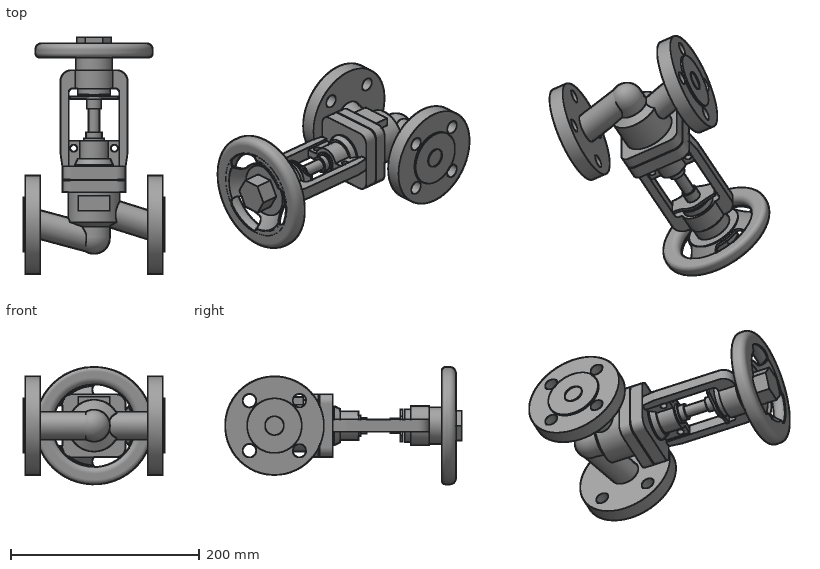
import cadquery as cq
import math


FACE_TO_FACE = 150.0
FLANGE_DIA = 105.0
FLANGE_THICKNESS = 16.0
RAISED_FACE_DIA = 58.0
RAISED_FACE_HEIGHT = 2.0
BOLT_CIRCLE_DIA = 75.0
BOLT_HOLE_DIA = 14.0
BOLT_COUNT = 4
BORE_DIA = 20.0
BORE_DEPTH = 1.0

PIPE_DIA = 30.0
ELBOW_RADIUS = 17.0
ELBOW_Y = -14.0
INLET_ANGLE = 15.0
OUTLET_ANGLE = 17.5
BODY_RADIUS = 27.5
BODY_CONE_BOTTOM_Y = -2.0
BODY_CONE_TOP_Y = 2.8
BODY_TOP_Y = 34.7

PAD_WIDTH = 33.0
PAD_BOTTOM_Y = 14.7
PAD_TOP_Y = 30.8
PAD_TOP_Z = 30.7

SQUARE_SIDE = 67.0
SQUARE_CORNER_RADIUS = 10.0
BODY_FLANGE_THICKNESS = 12.3
GASKET_RADIUS = 25.7
GASKET_THICKNESS = 1.0
BONNET_TOP_Y = 62.0

NECK_RADIUS = 15.4
NECK_TOP_Y = 89.3
NECK_FOOT_RADIUS = 20.8
NECK_FOOT_HEIGHT = 1.5
NECK_CONE_RADIUS = 17.8
NECK_CONE_TOP_Y = 69.8
GLAND_RIM_RADIUS = 11.0
GLAND_RIM_TOP_Y = 91.8
GLAND_RADIUS = 8.6
GLAND_TOP_Y = 98.2

YOKE_THICKNESS = 13.4
YOKE_HALF_WIDTH = 35.8
YOKE_FOOT_HALF_WIDTH = 33.7
YOKE_TAPER_TOP_Y = 76.5
YOKE_TOP_Y = 164.2
YOKE_CORNER_RADIUS = 12.0
WINDOW_HALF_WIDTH = 26.7
WINDOW_TOP_Y = 144.5
WINDOW_CORNER_RADIUS = 4.0
WEB_THICKNESS = 8.0
WEB_HOLE_DIA = 7.2
WEB_HOLE_X = 21.6
WEB_HOLE_Y = 81.2
BOSS_RADIUS = 21.0
COLLAR_RADIUS = 17.5
COLLAR_BOTTOM_Y = 138.1

STEM_RADIUS = 6.0
SLEEVE_RADIUS = 7.9
SLEEVE_BOTTOM_Y = 123.0
GUIDE_BOTTOM_Y = 133.4
GUIDE_THICKNESS = 2.8
GUIDE_DISC_RADIUS = 17.3
GUIDE_HALF_LENGTH = 25.4
GUIDE_TAB_HALF_HEIGHT = 10.0
GUIDE_FILLET_RADIUS = 24.0

WHEEL_RADIUS = 62.5
RIM_BOTTOM_Y = 177.4
RIM_TOP_Y = 192.8
RIM_INNER_RADIUS = 43.8
RIM_ROUND_RADIUS = 7.0
RIM_LOWER_OUTER_ROUND = 4.7
HUB_RADIUS = 19.6
HUB_FLANGE_RADIUS = 29.5
HUB_FLANGE_Y = RIM_BOTTOM_Y
DISH_STEP = 1.0
DISH_RIM_RADIUS = 42.0
DISH_RIM_Y = 191.5
DISH_THICKNESS = 1.5
SPOKE_COUNT = 3
WINDOW_INNER_RADIUS = 31.0
WINDOW_OUTER_RADIUS = 46.0
WINDOW_HALF_ANGLE = 32.5

NUT_ACROSS_FLATS = 32.0
NUT_TOP_Y = 199.0


def cylinder_y(radius, y_start, y_end):
    """Cylinder on the stem axis between two Y levels."""
    return cq.Workplane("XZ", origin=(0, y_start, 0)).circle(radius).extrude(y_start - y_end)


def cone_y(radius_start, y_start, radius_end, y_end):
    """Cone frustum on the stem axis between two Y levels."""
    profile = [(0, y_start), (radius_start, y_start), (radius_end, y_end), (0, y_end)]
    return cq.Workplane("XY").polyline(profile).close().revolve(360, (0, 0, 0), (0, 1, 0))


def make_pipe_flange(side):
    """Flange at the -X end (side = -1) or the +X end (side = 1)."""
    face_x = FACE_TO_FACE / 2
    flange = (
        cq.Workplane("YZ", origin=(face_x, 0, 0))
        .circle(RAISED_FACE_DIA / 2)
        .extrude(-RAISED_FACE_HEIGHT)
    )
    disc = (
        cq.Workplane("YZ", origin=(face_x - RAISED_FACE_HEIGHT, 0, 0))
        .circle(FLANGE_DIA / 2)
        .extrude(-FLANGE_THICKNESS)
    )
    bolt_holes = (
        cq.Workplane("YZ", origin=(face_x, 0, 0))
        .polarArray(BOLT_CIRCLE_DIA / 2, 180 / BOLT_COUNT, 360, BOLT_COUNT)
        .circle(BOLT_HOLE_DIA / 2)
        .extrude(-RAISED_FACE_HEIGHT - FLANGE_THICKNESS)
    )
    bore = cq.Workplane("YZ", origin=(face_x, 0, 0)).circle(BORE_DIA / 2).extrude(-BORE_DEPTH)
    flange = flange.union(disc).cut(bolt_holes).cut(bore)
    return flange if side > 0 else flange.mirror("YZ")


def make_pipe(start_x, end_x, slope_angle):
    """Round pipe crossing Y = 0 at start_x and rising by slope_angle on its way to end_x."""
    run = end_x - start_x
    rise = abs(run) * math.tan(math.radians(slope_angle))
    overlap = FLANGE_THICKNESS / 2
    direction = cq.Vector(run, rise, 0).normalized()
    start = cq.Vector(start_x, 0, 0) - direction * overlap
    plane = cq.Plane(origin=start.toTuple(), xDir=(0, 0, 1), normal=direction.toTuple())
    return cq.Workplane(plane).circle(PIPE_DIA / 2).extrude(math.hypot(run, rise) + overlap)


def make_body():
    """Conical-bottomed body with a round-ended elbow below it, both pipes and the name plate pad."""
    inner_x = FACE_TO_FACE / 2 - RAISED_FACE_HEIGHT - FLANGE_THICKNESS
    diagonal = ELBOW_RADIUS * math.sqrt(0.5)
    core = (
        cq.Workplane("XY")
        .moveTo(0, ELBOW_Y - ELBOW_RADIUS)
        .threePointArc((diagonal, ELBOW_Y - diagonal), (ELBOW_RADIUS, ELBOW_Y))
        .lineTo(ELBOW_RADIUS, BODY_CONE_BOTTOM_Y)
        .lineTo(BODY_RADIUS, BODY_CONE_TOP_Y)
        .lineTo(BODY_RADIUS, BODY_TOP_Y)
        .lineTo(0, BODY_TOP_Y)
        .close()
        .revolve(360, (0, 0, 0), (0, 1, 0))
    )
    pad = cq.Workplane("XY").box(
        PAD_WIDTH, PAD_TOP_Y - PAD_BOTTOM_Y, PAD_TOP_Z, centered=(True, False, False)
    )
    pad = pad.translate((0, PAD_BOTTOM_Y, 0))
    inlet = make_pipe(-inner_x, 0, -INLET_ANGLE)
    outlet = make_pipe(inner_x, 0, OUTLET_ANGLE)
    return core.union(inlet).union(outlet).union(pad)


def square_flange(y_start, y_end):
    """Square plate with rounded corners between two Y levels."""
    return (
        cq.Workplane("XZ", origin=(0, y_start, 0))
        .rect(SQUARE_SIDE, SQUARE_SIDE)
        .extrude(y_start - y_end)
        .edges("|Y")
        .fillet(SQUARE_CORNER_RADIUS)
    )


def make_bonnet():
    """Both square flanges with the gasket between them, the bonnet neck and the gland."""
    gasket_y = BODY_TOP_Y + BODY_FLANGE_THICKNESS
    bonnet_y = gasket_y + GASKET_THICKNESS
    foot_top_y = BONNET_TOP_Y + NECK_FOOT_HEIGHT
    bonnet = square_flange(BODY_TOP_Y, gasket_y)
    bonnet = bonnet.union(cylinder_y(GASKET_RADIUS, gasket_y, bonnet_y))
    bonnet = bonnet.union(square_flange(bonnet_y, BONNET_TOP_Y))
    bonnet = bonnet.union(cylinder_y(NECK_FOOT_RADIUS, BONNET_TOP_Y, foot_top_y))
    bonnet = bonnet.union(cone_y(NECK_FOOT_RADIUS, foot_top_y, NECK_CONE_RADIUS, NECK_CONE_TOP_Y))
    bonnet = bonnet.union(cylinder_y(NECK_RADIUS, BONNET_TOP_Y, NECK_TOP_Y))
    bonnet = bonnet.union(cylinder_y(GLAND_RIM_RADIUS, NECK_TOP_Y, GLAND_RIM_TOP_Y))
    return bonnet.union(cylinder_y(GLAND_RADIUS, GLAND_RIM_TOP_Y, GLAND_TOP_Y))


def make_yoke():
    """Arched frame with a drilled web at its foot and a round boss and collar at its head."""
    outline = [
        (-YOKE_FOOT_HALF_WIDTH, BONNET_TOP_Y),
        (YOKE_FOOT_HALF_WIDTH, BONNET_TOP_Y),
        (YOKE_HALF_WIDTH, YOKE_TAPER_TOP_Y),
        (YOKE_HALF_WIDTH, YOKE_TOP_Y),
        (-YOKE_HALF_WIDTH, YOKE_TOP_Y),
        (-YOKE_HALF_WIDTH, YOKE_TAPER_TOP_Y),
    ]
    yoke = cq.Workplane("XY").polyline(outline).close().extrude(YOKE_THICKNESS / 2, both=True)
    yoke = yoke.edges("|Z and >Y").fillet(YOKE_CORNER_RADIUS)
    window = (
        cq.Workplane("XY", origin=(0, (BONNET_TOP_Y + WINDOW_TOP_Y) / 2, 0))
        .rect(2 * WINDOW_HALF_WIDTH, WINDOW_TOP_Y - BONNET_TOP_Y)
        .extrude(YOKE_THICKNESS, both=True)
        .edges("|Z and >Y")
        .fillet(WINDOW_CORNER_RADIUS)
    )
    web = (
        cq.Workplane("XY", origin=(0, (BONNET_TOP_Y + NECK_TOP_Y) / 2, 0))
        .rect(2 * WINDOW_HALF_WIDTH, NECK_TOP_Y - BONNET_TOP_Y)
        .extrude(WEB_THICKNESS / 2, both=True)
    )
    web_holes = (
        cq.Workplane("XY")
        .pushPoints([(-WEB_HOLE_X, WEB_HOLE_Y), (WEB_HOLE_X, WEB_HOLE_Y)])
        .circle(WEB_HOLE_DIA / 2)
        .extrude(WEB_THICKNESS, both=True)
    )
    yoke = yoke.cut(window).union(web.cut(web_holes))
    yoke = yoke.union(cylinder_y(BOSS_RADIUS, WINDOW_TOP_Y, YOKE_TOP_Y))
    return yoke.union(cylinder_y(COLLAR_RADIUS, COLLAR_BOTTOM_Y, WINDOW_TOP_Y))


def make_guide_plate():
    """Disc with two end tabs, each tab blended into the disc by concave arcs."""
    center_distance = GUIDE_DISC_RADIUS + GUIDE_FILLET_RADIUS
    fillet_z = GUIDE_TAB_HALF_HEIGHT + GUIDE_FILLET_RADIUS
    fillet_x = math.sqrt(center_distance**2 - fillet_z**2)
    touch_x = fillet_x * GUIDE_DISC_RADIUS / center_distance
    touch_z = fillet_z * GUIDE_DISC_RADIUS / center_distance
    plate = cq.Workplane("XZ", origin=(0, GUIDE_BOTTOM_Y, 0)).rect(
        2 * GUIDE_HALF_LENGTH, 2 * GUIDE_TAB_HALF_HEIGHT
    )
    plate = plate.extrude(-GUIDE_THICKNESS)
    guide_top_y = GUIDE_BOTTOM_Y + GUIDE_THICKNESS
    plate = plate.union(cylinder_y(GUIDE_DISC_RADIUS, GUIDE_BOTTOM_Y, guide_top_y))
    shoulders = cq.Workplane("XZ", origin=(0, GUIDE_BOTTOM_Y, 0)).polyline(
        [
            (-fillet_x, -GUIDE_TAB_HALF_HEIGHT),
            (-touch_x, -touch_z),
            (touch_x, -touch_z),
            (fillet_x, -GUIDE_TAB_HALF_HEIGHT),
            (fillet_x, GUIDE_TAB_HALF_HEIGHT),
            (touch_x, touch_z),
            (-touch_x, touch_z),
            (-fillet_x, GUIDE_TAB_HALF_HEIGHT),
        ]
    )
    shoulders = shoulders.close().extrude(-GUIDE_THICKNESS)
    fillets = (
        cq.Workplane("XZ", origin=(0, GUIDE_BOTTOM_Y, 0))
        .rect(2 * fillet_x, 2 * fillet_z, forConstruction=True)
        .vertices()
        .circle(GUIDE_FILLET_RADIUS)
        .extrude(-GUIDE_THICKNESS)
    )
    return plate.union(shoulders.cut(fillets))


def make_stem():
    """Stem rod with the sleeve below the guide plate."""
    stem = cylinder_y(STEM_RADIUS, NECK_TOP_Y, YOKE_TOP_Y)
    return stem.union(cylinder_y(SLEEVE_RADIUS, SLEEVE_BOTTOM_Y, GUIDE_BOTTOM_Y))


def make_rim():
    """Handwheel rim: a ring of rectangular section with rounded corners."""
    round_off = RIM_ROUND_RADIUS
    small_round = RIM_LOWER_OUTER_ROUND
    diagonal = 1 - math.sqrt(0.5)
    outer = WHEEL_RADIUS
    inner = RIM_INNER_RADIUS
    profile = (
        cq.Workplane("XY")
        .moveTo(inner + round_off, RIM_BOTTOM_Y)
        .lineTo(outer - small_round, RIM_BOTTOM_Y)
        .threePointArc(
            (outer - diagonal * small_round, RIM_BOTTOM_Y + diagonal * small_round),
            (outer, RIM_BOTTOM_Y + small_round),
        )
        .lineTo(outer, RIM_TOP_Y - round_off)
        .threePointArc(
            (outer - diagonal * round_off, RIM_TOP_Y - diagonal * round_off),
            (outer - round_off, RIM_TOP_Y),
        )
        .lineTo(inner + round_off, RIM_TOP_Y)
        .threePointArc(
            (inner + diagonal * round_off, RIM_TOP_Y - diagonal * round_off),
            (inner, RIM_TOP_Y - round_off),
        )
        .lineTo(inner, RIM_BOTTOM_Y + round_off)
        .threePointArc(
            (inner + diagonal * round_off, RIM_BOTTOM_Y + diagonal * round_off),
            (inner + round_off, RIM_BOTTOM_Y),
        )
        .close()
    )
    return profile.revolve(360, (0, 0, 0), (0, 1, 0))


def polar_point(radius, angle):
    """Point at a radius and an angle in degrees."""
    radians = math.radians(angle)
    return radius * math.cos(radians), radius * math.sin(radians)


def make_spoke_window():
    """Curved slot along the stem axis, centred on the +X direction."""
    inner = WINDOW_INNER_RADIUS
    outer = WINDOW_OUTER_RADIUS
    middle = (inner + outer) / 2
    tip_angle = WINDOW_HALF_ANGLE
    end_angle = tip_angle - math.degrees(math.asin((outer - inner) / 2 / middle))
    return (
        cq.Workplane("XZ", origin=(0, RIM_BOTTOM_Y, 0))
        .moveTo(*polar_point(outer, -end_angle))
        .threePointArc((outer, 0), polar_point(outer, end_angle))
        .threePointArc(polar_point(middle, tip_angle), polar_point(inner, end_angle))
        .threePointArc((inner, 0), polar_point(inner, -end_angle))
        .threePointArc(polar_point(middle, -tip_angle), polar_point(outer, -end_angle))
        .close()
        .extrude(RIM_BOTTOM_Y - NUT_TOP_Y)
    )


def make_handwheel():
    """Rim, a dished web with curved windows that leave three spokes, and the hub."""
    rim_middle_radius = (RIM_INNER_RADIUS + WHEEL_RADIUS) / 2
    dish_start_y = HUB_FLANGE_Y + DISH_STEP
    dish_profile = [
        (0, dish_start_y),
        (HUB_FLANGE_RADIUS, dish_start_y),
        (DISH_RIM_RADIUS, DISH_RIM_Y),
        (rim_middle_radius, DISH_RIM_Y),
        (rim_middle_radius, RIM_TOP_Y),
        (DISH_RIM_RADIUS - DISH_THICKNESS, RIM_TOP_Y),
        (HUB_FLANGE_RADIUS - DISH_THICKNESS, dish_start_y + DISH_THICKNESS),
        (0, dish_start_y + DISH_THICKNESS),
    ]
    dish = cq.Workplane("XY").polyline(dish_profile).close().revolve(360, (0, 0, 0), (0, 1, 0))
    for index in range(SPOKE_COUNT):
        angle = (index + 0.5) * 360 / SPOKE_COUNT
        dish = dish.cut(make_spoke_window().rotate((0, 0, 0), (0, 1, 0), angle))
    hub = cylinder_y(HUB_RADIUS, YOKE_TOP_Y, HUB_FLANGE_Y)
    hub_flange = cylinder_y(HUB_FLANGE_RADIUS, HUB_FLANGE_Y, dish_start_y + DISH_THICKNESS)
    return make_rim().union(dish).union(hub_flange).union(hub)


def make_nut():
    """Hexagonal nut with two flats facing +Z and -Z."""
    return (
        cq.Workplane("XZ", origin=(0, HUB_FLANGE_Y, 0))
        .polygon(6, NUT_ACROSS_FLATS / math.cos(math.pi / 6))
        .extrude(HUB_FLANGE_Y - NUT_TOP_Y)
    )


result = (
    make_body()
    .union(make_pipe_flange(-1))
    .union(make_pipe_flange(1))
    .union(make_bonnet())
    .union(make_yoke())
    .union(make_stem())
    .union(make_guide_plate())
    .union(make_handwheel())
    .union(make_nut())
)